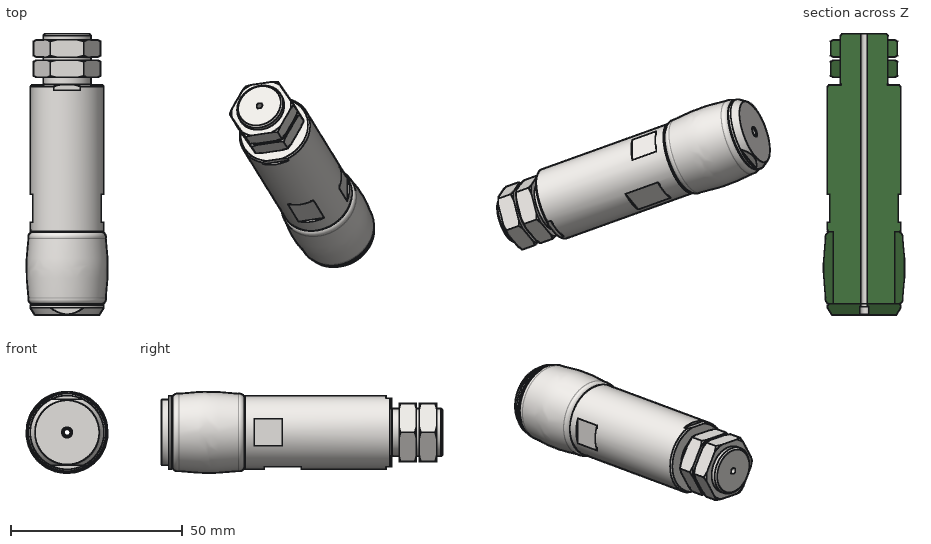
import math
import cadquery as cq

total_length = 82
cap_face_y = -total_length / 2
tail_end_y = cap_face_y + total_length
cap_length = 3.3
cap_flange_length = 1.15
sleeve_length = 20.9
barrel_length = 42.9
sleeve_start_y = cap_face_y + cap_length
barrel_start_y = sleeve_start_y + sleeve_length
barrel_end_y = barrel_start_y + barrel_length
cap_shoulder_y = sleeve_start_y - cap_flange_length

barrel_diameter = 21.5
barrel_radius = barrel_diameter / 2
barrel_chamfer = 0.5
barrel_front_chamfer = 0.3
spigot_diameter = 18
tail_diameter = 14.0
tail_tip_diameter = 12.95
tail_chamfer = (tail_diameter - tail_tip_diameter) / 2
undercut_length = 0.25
undercut_depth = 0.25
air_hole_diameter = 1.8

flat_distance = 10.0
side_flat_length = 8.0
side_flat_start_y = barrel_start_y + 2.95
bottom_flat_length = 10.75
bottom_flat_start_y = barrel_start_y + 5.8
end_flat_length = 1.55

sleeve_diameter = 23.8
sleeve_crown_edge_radius = 11.3
sleeve_end_radius = 10.4
sleeve_round_length = 1.8
sleeve_round_bulge = 0.3

cap_face_diameter = 19.0
cap_flat_distance = 9.6
cap_flange_chamfer = 0.4
cap_hole_mouth_diameter = 3.0
cap_bore_diameter = 2.5
cap_bore_depth = 2.5
cap_hole_chamfer = (cap_hole_mouth_diameter - cap_bore_diameter) / 2
cap_edge_chamfer = 0.2

nut_across_flats = 17.0
nut_across_corners = nut_across_flats / math.cos(math.pi / 6)
nut_thickness = 5.0
nut_gap = 0.9
nut_chamfer_angle = math.radians(30)
nut_face_diameter = 18
nut_count = 2
tail_protrusion = 1.8
first_nut_y = tail_end_y - tail_protrusion - nut_thickness
nut_pitch = nut_thickness + nut_gap


def revolve_about_y(profile):
    """Revolve a closed (radius, y) profile drawn in the XY plane about the Y axis."""
    return profile.close().revolve(360, (0, 0, 0), (0, 1, 0))


def cylinder_y(diameter, start_y, length):
    """Solid cylinder on the Y axis, running from start_y towards +Y."""
    plane = cq.Plane(origin=(0, start_y, 0), xDir=(1, 0, 0), normal=(0, 1, 0))
    return cq.Workplane(plane).circle(diameter / 2).extrude(length)


def flat_cutter(distance, start_y, length, angle):
    """Block that cuts a flat at a distance from the axis; angle 0 faces +Z, 90 faces +X."""
    block = cq.Workplane("XY").box(
        sleeve_diameter, length, sleeve_diameter, centered=(True, False, False)
    )
    return block.translate((0, start_y, distance)).rotate((0, 0, 0), (0, 1, 0), angle)


def make_barrel():
    tail_radius = tail_diameter / 2
    undercut_radius = tail_radius - undercut_depth
    spigot_radius = spigot_diameter / 2
    barrel = revolve_about_y(
        cq.Workplane("XY")
        .moveTo(0, sleeve_start_y)
        .lineTo(spigot_radius, sleeve_start_y)
        .lineTo(spigot_radius, barrel_start_y)
        .lineTo(barrel_radius - barrel_front_chamfer, barrel_start_y)
        .lineTo(barrel_radius, barrel_start_y + barrel_front_chamfer)
        .lineTo(barrel_radius, barrel_end_y - barrel_chamfer)
        .lineTo(barrel_radius - barrel_chamfer, barrel_end_y)
        .lineTo(undercut_radius, barrel_end_y)
        .lineTo(undercut_radius, barrel_end_y + undercut_length)
        .lineTo(tail_radius, barrel_end_y + undercut_length)
        .lineTo(tail_radius, tail_end_y - tail_chamfer)
        .lineTo(tail_tip_diameter / 2, tail_end_y)
        .lineTo(0, tail_end_y)
    )
    for side_angle in (90, -90):
        barrel = barrel.cut(flat_cutter(flat_distance, side_flat_start_y, side_flat_length, side_angle))
    barrel = barrel.cut(flat_cutter(flat_distance, bottom_flat_start_y, bottom_flat_length, 180))
    for end_angle in (0, 180):
        end_flat_start_y = barrel_end_y - end_flat_length
        barrel = barrel.cut(flat_cutter(flat_distance, end_flat_start_y, end_flat_length, end_angle))
    return barrel.cut(cylinder_y(air_hole_diameter, cap_face_y, total_length))


def make_sleeve():
    crown_start_y = sleeve_start_y + sleeve_round_length
    crown_end_y = barrel_start_y - sleeve_round_length
    crown_middle_y = (crown_start_y + crown_end_y) / 2
    round_middle_radius = (sleeve_end_radius + sleeve_crown_edge_radius) / 2 + sleeve_round_bulge
    round_middle_offset = sleeve_round_length / 2 - sleeve_round_bulge / 2
    return revolve_about_y(
        cq.Workplane("XY")
        .moveTo(spigot_diameter / 2, sleeve_start_y)
        .lineTo(sleeve_end_radius, sleeve_start_y)
        .threePointArc(
            (round_middle_radius, sleeve_start_y + round_middle_offset),
            (sleeve_crown_edge_radius, crown_start_y),
        )
        .threePointArc((sleeve_diameter / 2, crown_middle_y), (sleeve_crown_edge_radius, crown_end_y))
        .threePointArc(
            (round_middle_radius, barrel_start_y - round_middle_offset),
            (sleeve_end_radius, barrel_start_y),
        )
        .lineTo(spigot_diameter / 2, barrel_start_y)
    )


def make_cap():
    cap = revolve_about_y(
        cq.Workplane("XY")
        .moveTo(0, cap_face_y)
        .lineTo(cap_face_diameter / 2 - cap_edge_chamfer, cap_face_y)
        .lineTo(cap_face_diameter / 2, cap_face_y + cap_edge_chamfer)
        .lineTo(barrel_radius, cap_shoulder_y)
        .lineTo(barrel_radius, sleeve_start_y - cap_flange_chamfer)
        .lineTo(barrel_radius - cap_flange_chamfer, sleeve_start_y)
        .lineTo(0, sleeve_start_y)
    )
    for angle in (0, 180):
        cap = cap.cut(flat_cutter(cap_flat_distance, cap_face_y, cap_length - cap_flange_length, angle))
    cap = cap.cut(cylinder_y(air_hole_diameter, cap_face_y, cap_length))
    cap_bore = revolve_about_y(
        cq.Workplane("XY")
        .moveTo(0, cap_face_y)
        .lineTo(cap_hole_mouth_diameter / 2, cap_face_y)
        .lineTo(cap_bore_diameter / 2, cap_face_y + cap_hole_chamfer)
        .lineTo(cap_bore_diameter / 2, cap_face_y + cap_bore_depth)
        .lineTo(0, cap_face_y + cap_bore_depth)
    )
    return cap.cut(cap_bore)


def make_nut(start_y):
    """Hexagon nut with corners on +-X and both faces chamfered."""
    plane = cq.Plane(origin=(0, start_y, 0), xDir=(1, 0, 0), normal=(0, 1, 0))
    hexagon = cq.Workplane(plane).polygon(6, nut_across_corners).extrude(nut_thickness)
    face_radius = nut_face_diameter / 2
    corner_radius = nut_across_corners / 2
    chamfer_height = (corner_radius - face_radius) * math.tan(nut_chamfer_angle)
    end_y = start_y + nut_thickness
    chamfer_envelope = revolve_about_y(
        cq.Workplane("XY")
        .moveTo(0, start_y)
        .lineTo(face_radius, start_y)
        .lineTo(corner_radius, start_y + chamfer_height)
        .lineTo(corner_radius, end_y - chamfer_height)
        .lineTo(face_radius, end_y)
        .lineTo(0, end_y)
    )
    return hexagon.intersect(chamfer_envelope).cut(cylinder_y(tail_diameter, start_y, nut_thickness))


barrel = make_barrel()
sleeve = make_sleeve()
cap = make_cap()
nuts = [make_nut(first_nut_y - index * nut_pitch) for index in range(nut_count)]

result = cq.Compound.makeCompound(
    [barrel.val(), sleeve.val(), cap.val(), *[nut.val() for nut in nuts]]
)